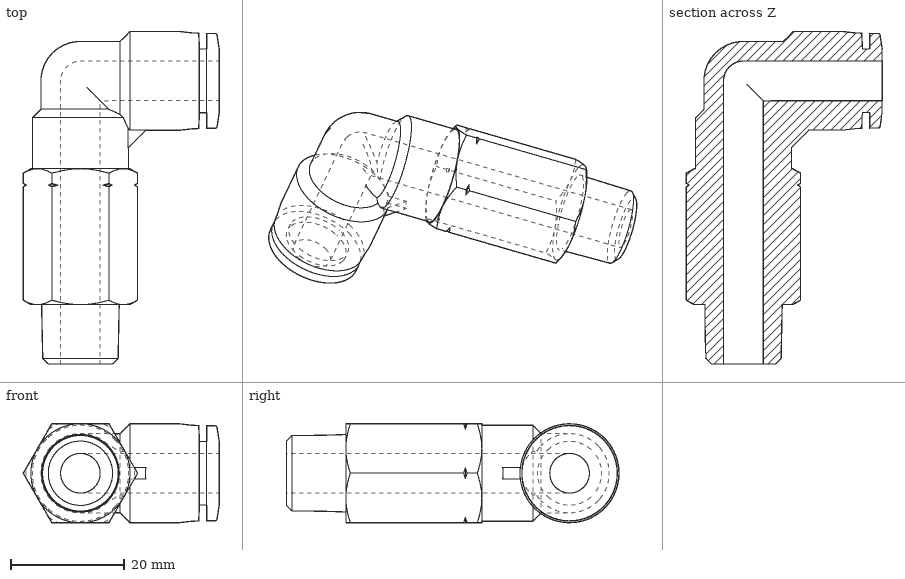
import cadquery as cq
import math


overall_width = 34.63

elbow_radius = 7.0
bore_radius = 3.5

neck_radius = 8.5
neck_start = 5.0
neck_cone_length = neck_radius - elbow_radius

hex_flats = 17.5
hex_start = 15.5
hex_end = 39.5
hex_half_sector = math.pi / 6
hex_corner_radius = hex_flats / 2 / math.cos(hex_half_sector)
hex_chamfer_angle = math.radians(30)
hex_chamfer_length = (hex_corner_radius - hex_flats / 2) * math.tan(hex_chamfer_angle)

nick_position = 18.4
nick_bottom_radius = 9.6
nick_half_width = 0.3

leg_end = 50.0
thread_root_radius = 6.87
thread_tip_radius = 6.68
thread_chamfer = 1.0

socket_radius = 8.75
socket_cone_start = 7.0
socket_cone_end = socket_cone_start + socket_radius - elbow_radius
socket_straight_end = 17.5
socket_ring_start = 19.65
socket_ring_radius = 8.5
socket_end = 20.9
socket_end_radius = 8.45
socket_face_crown = 0.15

sleeve_radius = 5.65
flange_radius = 8.4
flange_start = 22.3
flange_rim_position = 24.1
flange_rim_fillet = 0.4
flange_end = overall_width - hex_corner_radius

web_thickness = 2.0
web_end_on_socket = 11.5
web_reach = web_end_on_socket + socket_radius


def revolve_about_x(profile):
    """Solid of revolution about X from (x, radius) corners, closed along the axis."""
    outline = [(profile[0][0], 0)] + profile + [(profile[-1][0], 0)]
    return cq.Workplane("XY").polyline(outline).close().revolve(360, (0, 0, 0), (1, 0, 0))


def revolve_leg(profile):
    """Solid of revolution about the leg axis from (distance toward -Y, radius) corners."""
    return revolve_about_x(profile).rotate((0, 0, 0), (0, 0, 1), -90)


def make_socket():
    turned = revolve_about_x([
        (0, elbow_radius),
        (socket_cone_start, elbow_radius),
        (socket_cone_end, socket_radius),
        (socket_straight_end, socket_radius),
        (socket_ring_start, socket_ring_radius),
        (socket_end, socket_end_radius),
        (socket_end + socket_face_crown, sleeve_radius),
        (flange_start, sleeve_radius),
        (flange_start, flange_radius),
        (flange_rim_position, flange_radius),
        (flange_end, sleeve_radius),
    ])
    rim = cq.selectors.NearestToPointSelector((flange_rim_position, 0, 0))
    return turned.edges(rim).fillet(flange_rim_fillet)


def make_neck():
    return revolve_leg([
        (0, elbow_radius),
        (neck_start, elbow_radius),
        (neck_start + neck_cone_length, neck_radius),
        (hex_start, neck_radius),
    ])


def make_hexagon():
    prism = (
        cq.Workplane("XZ", origin=(0, -hex_start, 0))
        .polygon(6, 2 * hex_corner_radius)
        .extrude(hex_end - hex_start)
    )
    turned_envelope = revolve_leg([
        (hex_start, hex_flats / 2),
        (hex_start + hex_chamfer_length, hex_corner_radius),
        (nick_position - nick_half_width, hex_corner_radius),
        (nick_position, nick_bottom_radius),
        (nick_position + nick_half_width, hex_corner_radius),
        (hex_end - hex_chamfer_length, hex_corner_radius),
        (hex_end, hex_flats / 2),
    ])
    return prism.intersect(turned_envelope)


def make_thread():
    return revolve_leg([
        (hex_end, thread_root_radius),
        (leg_end - thread_chamfer, thread_tip_radius),
        (leg_end, thread_tip_radius - thread_chamfer),
    ])


def make_web():
    """Plate whose 45-degree edge meets the socket underside at web_end_on_socket."""
    triangle = [(0, 0), (web_reach, 0), (0, -web_reach)]
    return (
        cq.Workplane("XY", origin=(0, 0, -web_thickness / 2))
        .polyline(triangle)
        .close()
        .extrude(web_thickness)
    )


def make_passage():
    """Bore that enters the thread, turns at the elbow corner and leaves through the release ring."""
    leg_bore = revolve_leg([(0, bore_radius), (leg_end, bore_radius)])
    socket_bore = revolve_about_x([(0, bore_radius), (flange_end, bore_radius)])
    corner = cq.Workplane("XY").sphere(bore_radius)
    return leg_bore.union(socket_bore).union(corner)


elbow_corner = cq.Workplane("XY").sphere(elbow_radius)
body = elbow_corner.union(make_socket()).union(make_neck()).union(make_web())
body = body.union(make_hexagon()).union(make_thread())
result = body.cut(make_passage())